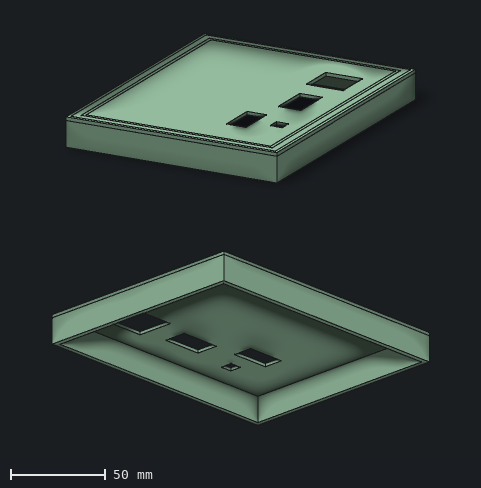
import cadquery as cq

LENGTH_X = 126.0
LENGTH_Y = 156.0
HEIGHT = 17.0

PANEL_THICKNESS = 2.0
WALL_THICKNESS = 3.0

TRIM_WIDTH = 2.0
TRIM_SPACING = 4.0
INNER_TRIM_INSET = TRIM_WIDTH + TRIM_SPACING
EDGE_TRIM_DEPTH = PANEL_THICKNESS
INNER_TRIM_DEPTH = PANEL_THICKNESS / 2

CUTOUTS = [
    (34.7, 39.95, 22.0, 21.9),
    (34.6, 1.85, 13.4, 24.3),
    (23.1, -36.9, 11.6, 23.2),
    (42.5, -36.5, 7.0, 7.0),
]


def inset_block(inset, bottom, top):
    """Block whose sides lie a given inset inside the outer outline."""
    return (
        cq.Workplane("XY", origin=(0, 0, bottom))
        .rect(LENGTH_X - 2 * inset, LENGTH_Y - 2 * inset)
        .extrude(top - bottom)
    )


def make_trim(inset, depth):
    """Rectangular ring that fills a groove of the given depth in the top face."""
    bottom = HEIGHT - depth
    outside = inset_block(inset, bottom, HEIGHT)
    inside = inset_block(inset + TRIM_WIDTH, bottom, HEIGHT)
    return outside.cut(inside)


def make_housing(trims):
    """Hollow housing with panel cutouts and seats for the trim rings."""
    body = inset_block(0, 0, HEIGHT)
    cavity = inset_block(WALL_THICKNESS, 0, HEIGHT - PANEL_THICKNESS)
    body = body.cut(cavity)
    for x, y, size_x, size_y in CUTOUTS:
        cutout = cq.Workplane("XY").center(x, y).rect(size_x, size_y).extrude(HEIGHT)
        body = body.cut(cutout)
    for trim in trims:
        body = body.cut(trim)
    return body


edge_trim = make_trim(0, EDGE_TRIM_DEPTH)
inner_trim = make_trim(INNER_TRIM_INSET, INNER_TRIM_DEPTH)
housing = make_housing([edge_trim, inner_trim])

result = cq.Compound.makeCompound([housing.val(), edge_trim.val(), inner_trim.val()])